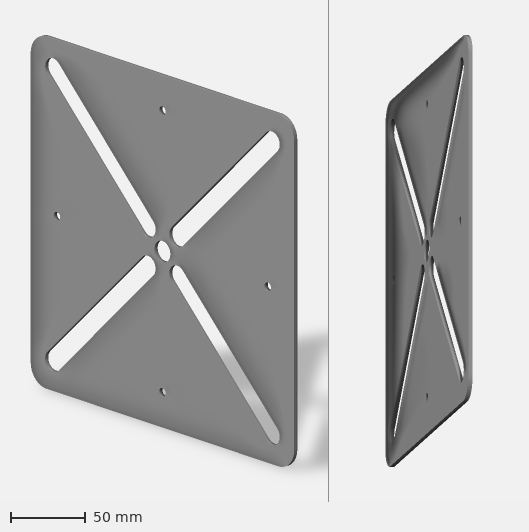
import cadquery as cq
import math

side = 250.0
thickness = 3.0
corner_radius = 15.0

center_hole_diameter = 15.0
mount_hole_diameter = 6.0
mount_hole_offset = 100.0

slot_width = 15.0
slot_inner_offset = 14.0
slot_outer_offset = 103.8


def make_plate():
    plate = cq.Workplane("XZ").rect(side, side).extrude(thickness / 2, both=True)
    return plate.edges("|Y").fillet(corner_radius)


def cut_round_holes(plate):
    plate = plate.faces("<Y").workplane(origin=(0, 0, 0)).hole(center_hole_diameter)
    mount_holes = plate.faces("<Y").workplane(origin=(0, 0, 0)).polarArray(mount_hole_offset, 0, 360, 4)
    return mount_holes.hole(mount_hole_diameter)


def cut_diagonal_slots(plate):
    middle_offset = (slot_inner_offset + slot_outer_offset) / 2
    center_distance = (slot_outer_offset - slot_inner_offset) * math.sqrt(2)
    slot_length = center_distance + slot_width
    for x_sign in (-1, 1):
        for z_sign in (-1, 1):
            slot = (
                cq.Workplane("XZ")
                .center(x_sign * middle_offset, z_sign * middle_offset)
                .slot2D(slot_length, slot_width, 45 * x_sign * z_sign)
                .extrude(thickness, both=True)
            )
            plate = plate.cut(slot)
    return plate


result = cut_diagonal_slots(cut_round_holes(make_plate()))